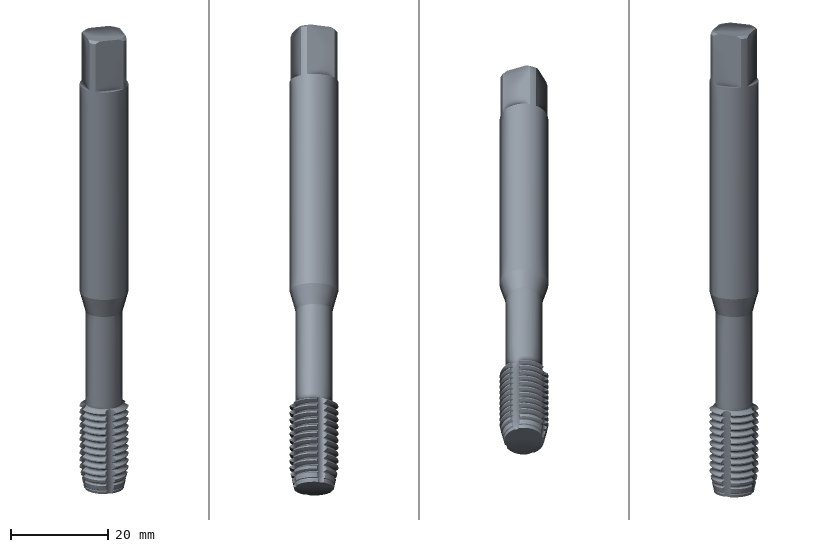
import cadquery as cq
import math

total_length = 100
shank_diameter = 10
neck_diameter = 7.7

square_width = 8
square_length = 11
square_chamfer = 0.5

cone_bottom_z = 39
cone_top_z = 43.2

thread_diameter = 10
thread_pitch = 1.5
ring_count = 12
tooth_height = 0.9
tooth_angle = 60
crest_width = thread_pitch / 6
lead_tip_radius = 4.1
lead_length = 4.2

collar_height = 0.65

flute_count = 4
flute_radius = 1.1

shank_radius = shank_diameter / 2
neck_radius = neck_diameter / 2
thread_radius = thread_diameter / 2
thread_length = ring_count * thread_pitch
collar_top_z = thread_length + collar_height
root_radius = thread_radius - tooth_height
gap_half_width = (thread_pitch - crest_width) / 2
flank_run = tooth_height * math.tan(math.radians(tooth_angle / 2))
root_half_width = gap_half_width - flank_run


def revolve_about_z(profile):
    """Turn a closed (radius, z) profile around the Z axis."""
    return cq.Workplane("XZ").polyline(profile).close().revolve(360, (0, 0, 0), (0, 1, 0))


def cut_flutes(body):
    """Cut the round-bottomed grooves, centred on the thread's major diameter."""
    flutes = (
        cq.Workplane("XY")
        .polarArray(thread_radius, 0, 360, flute_count)
        .circle(flute_radius)
        .extrude(collar_top_z)
    )
    return body.cut(flutes)


def make_square_trim():
    """Frame of material around the square drive."""
    return (
        cq.Workplane("XY", origin=(0, 0, total_length - square_length))
        .rect(2 * shank_diameter, 2 * shank_diameter)
        .rect(square_width, square_width)
        .extrude(square_length)
    )


def make_shank():
    """Shank with a square drive on top and a neck that ends in a fluted collar."""
    turned = revolve_about_z([
        (0, thread_length),
        (thread_radius, thread_length),
        (neck_radius, collar_top_z),
        (neck_radius, cone_bottom_z),
        (shank_radius, cone_top_z),
        (shank_radius, total_length - square_chamfer),
        (shank_radius - square_chamfer, total_length),
        (0, total_length),
    ])
    return cut_flutes(turned.cut(make_square_trim()))


def make_thread_gap(middle_z):
    """Ring that leaves the V-shaped gap between two neighbouring teeth."""
    outside_radius = thread_radius + tooth_height
    return revolve_about_z([
        (root_radius, middle_z - root_half_width),
        (thread_radius, middle_z - gap_half_width),
        (outside_radius, middle_z - gap_half_width),
        (outside_radius, middle_z + gap_half_width),
        (thread_radius, middle_z + gap_half_width),
        (root_radius, middle_z + root_half_width),
    ])


def make_threaded_end():
    """Ring-toothed end with a tapered lead and flutes."""
    threaded_end = revolve_about_z([
        (0, 0),
        (lead_tip_radius, 0),
        (thread_radius, lead_length),
        (thread_radius, thread_length),
        (0, thread_length),
    ])
    for ring in range(ring_count):
        threaded_end = threaded_end.cut(make_thread_gap((ring + 0.5) * thread_pitch))
    return cut_flutes(threaded_end)


shank = make_shank()
threaded_end = make_threaded_end()

result = cq.Compound.makeCompound([shank.val(), threaded_end.val()])